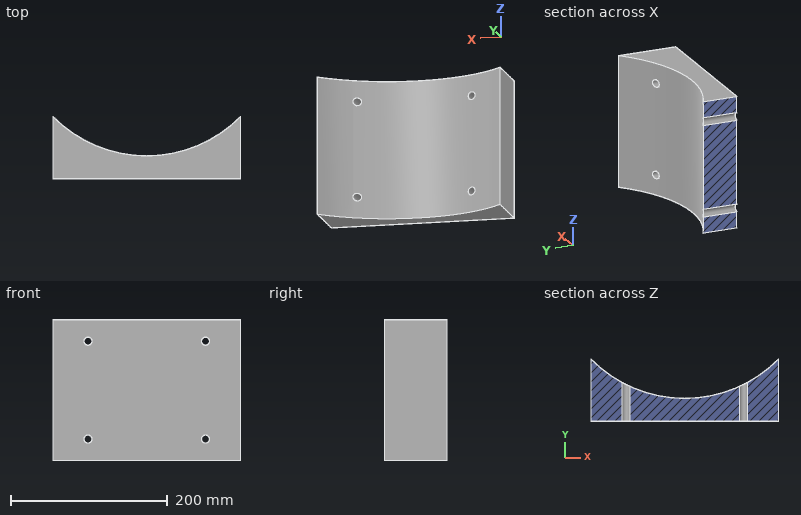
import cadquery as cq
import math

width = 240.0
depth = 80.0
height = 180.0

saddle_radius = 168.0
saddle_depth = saddle_radius - math.sqrt(saddle_radius**2 - (width / 2) ** 2)

hole_diameter = 10.0
hole_spacing_x = 150.0
hole_spacing_z = 125.0


def saddle_block():
    """Block with its flat face on Y = 0 and a concave arc across the +Y side."""
    return (
        cq.Workplane("XY")
        .moveTo(-width / 2, 0)
        .lineTo(width / 2, 0)
        .lineTo(width / 2, depth)
        .threePointArc((0, depth - saddle_depth), (-width / 2, depth))
        .close()
        .extrude(height / 2, both=True)
    )


def mounting_holes():
    """Four cylinders in a rectangular pattern, spanning the depth of the block."""
    return (
        cq.Workplane("XZ")
        .rect(hole_spacing_x, hole_spacing_z, forConstruction=True)
        .vertices()
        .circle(hole_diameter / 2)
        .extrude(-depth)
    )


result = saddle_block().cut(mounting_holes())